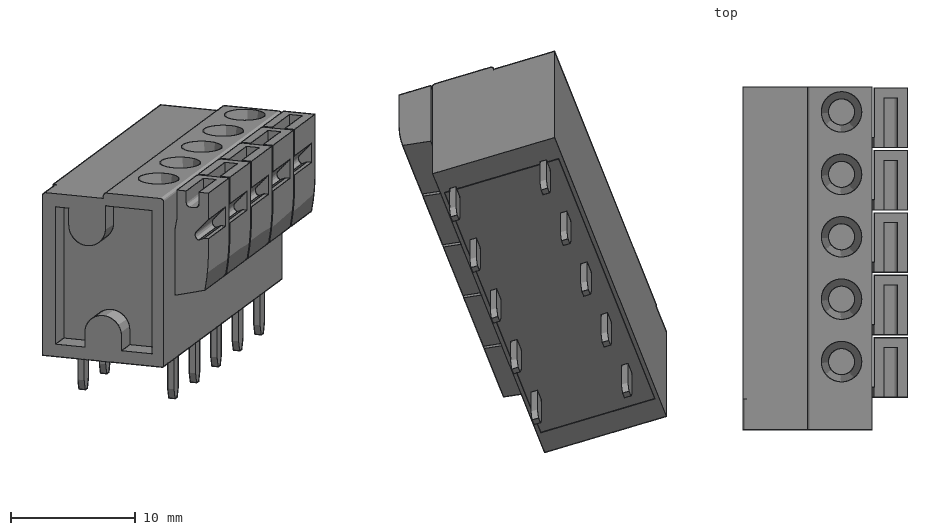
import cadquery as cq


overall_height = 18.12

pole_count = 5
pitch = 5.0
row_length = 27.5
end_plate = row_length - pole_count * pitch

housing_width = 10.37
shelf_height = 13.58
step_height = 0.47
housing_height = shelf_height + step_height
step_x = 5.2
edge_radius = 0.3
bottom_edge_radius = 0.15

foot_thickness = 0.08
foot_x = (0.33, 10.0)
foot_y = (1.9, 25.55)

recess_depth = 1.92
recess_x = (1.13, 9.38)
recess_floor = 1.05
recess_low_top = 12.48
recess_high_top = 12.98
tongue_radius = 1.57
upper_tongue_x = 3.82
upper_tongue_tip = 9.52
lower_tongue_x = step_x
lower_tongue_tip = 3.82

funnel_x = 7.92
funnel_offset = 3.0
funnel_top_diameter = 3.25
funnel_bottom_diameter = 2.1
funnel_depth = 4.95

pin_row_x = (1.57, 9.25)
pin_offset = 2.75
pin_thickness = 0.55
pin_width = 1.02
pin_length = 4.02
pin_tip_width = 0.47
pin_shoulder_width = 0.6
pin_taper = 0.85
pin_tip_height = 0.16

lever_left = 10.53
lever_right = 13.23
lever_top = overall_height - pin_length
lever_offset = 0.15
lever_width = 4.78
lever_straight_bottom = 9.0
lever_nose = (12.92, 6.0)
lever_nose_bend = (13.12, 7.3)
lever_heel_z = 5.35

slot_x = (11.33, 12.4)
slot_depth = 1.32
slot_back_wall = 0.8
slot_corner_radius = 0.35

notch_top = 11.9
notch_bottom = 10.3
notch_slope_end = (12.15, 10.75)
notch_tip = (12.15, 10.3)
notch_low_point = (12.4, 10.12)
notch_lip_x = 12.85

rib_width = 0.82
rib_top = 11.72
rib_slope_bottom = 10.8


def pole_start(index):
    """Y where the given pole begins, counted from the front end."""
    return end_plate + index * pitch


def box(x, y, z):
    """Axis-aligned box between pairs of limits."""
    return cq.Workplane("XY").box(
        x[1] - x[0], y[1] - y[0], z[1] - z[0], centered=False
    ).translate((x[0], y[0], z[0]))


def along_y(y_start):
    """Work plane in X and Z at the given Y, extruding towards +Y for negative distances."""
    return cq.Workplane("XZ", origin=(0, y_start, 0))


def make_housing():
    body = (
        along_y(0)
        .moveTo(0, 0)
        .lineTo(housing_width - bottom_edge_radius, 0)
        .radiusArc((housing_width, bottom_edge_radius), -bottom_edge_radius)
        .lineTo(housing_width, housing_height - edge_radius)
        .radiusArc((housing_width - edge_radius, housing_height), -edge_radius)
        .lineTo(step_x + edge_radius, housing_height)
        .radiusArc((step_x, housing_height - edge_radius), -edge_radius)
        .lineTo(step_x, shelf_height)
        .lineTo(0, shelf_height)
        .close()
        .extrude(-row_length)
    )
    corner = (
        along_y(0)
        .moveTo(0, shelf_height)
        .lineTo(0, shelf_height - edge_radius)
        .radiusArc((edge_radius, shelf_height), edge_radius)
        .close()
        .extrude(-end_plate)
    )
    foot = box(foot_x, foot_y, (-foot_thickness, 0))
    return body.cut(corner).union(foot)


def make_recess():
    upper_left = upper_tongue_x - tongue_radius
    upper_right = upper_tongue_x + tongue_radius
    upper_spring = upper_tongue_tip + tongue_radius
    lower_left = lower_tongue_x - tongue_radius
    lower_right = lower_tongue_x + tongue_radius
    lower_spring = lower_tongue_tip - tongue_radius
    return (
        along_y(0)
        .moveTo(recess_x[0], recess_floor)
        .lineTo(recess_x[0], recess_low_top)
        .lineTo(upper_left, recess_low_top)
        .lineTo(upper_left, upper_spring)
        .threePointArc((upper_tongue_x, upper_tongue_tip), (upper_right, upper_spring))
        .lineTo(upper_right, recess_high_top)
        .lineTo(recess_x[1], recess_high_top)
        .lineTo(recess_x[1], recess_floor)
        .lineTo(lower_right, recess_floor)
        .lineTo(lower_right, lower_spring)
        .threePointArc((lower_tongue_x, lower_tongue_tip), (lower_left, lower_spring))
        .lineTo(lower_left, recess_floor)
        .close()
        .extrude(-recess_depth)
    )


def make_funnel(index):
    return (
        cq.Workplane("XY", origin=(funnel_x, pole_start(index) + funnel_offset, housing_height))
        .circle(funnel_top_diameter / 2)
        .workplane(offset=-funnel_depth)
        .circle(funnel_bottom_diameter / 2)
        .loft()
    )


def make_pin(x, index):
    half_width = pin_width / 2
    half_tip = pin_tip_width / 2
    half_shoulder = pin_shoulder_width / 2
    shoulder = pin_tip_height - pin_length
    taper_start = pin_taper - pin_length
    return (
        cq.Workplane("YZ", origin=(x - pin_thickness / 2, pole_start(index) + pin_offset, 0))
        .moveTo(-half_width, 0)
        .lineTo(-half_width, taper_start)
        .lineTo(-half_shoulder, shoulder)
        .lineTo(-half_tip, -pin_length)
        .lineTo(half_tip, -pin_length)
        .lineTo(half_shoulder, shoulder)
        .lineTo(half_width, taper_start)
        .lineTo(half_width, 0)
        .close()
        .extrude(pin_thickness)
    )


def make_lever(index):
    front = pole_start(index) + lever_offset
    opening = lever_width - slot_back_wall
    blade = (
        along_y(front)
        .moveTo(lever_left, lever_heel_z)
        .lineTo(lever_left, lever_top)
        .lineTo(lever_right, lever_top)
        .lineTo(lever_right, lever_straight_bottom)
        .threePointArc(lever_nose_bend, lever_nose)
        .close()
        .extrude(-lever_width)
    )
    rib = (
        along_y(front)
        .moveTo(lever_left, lever_heel_z)
        .lineTo(lever_left, rib_top)
        .lineTo(housing_width, rib_slope_bottom)
        .lineTo(housing_width, lever_heel_z)
        .close()
        .extrude(-rib_width)
    )
    slot = (
        box(slot_x, (front, front + opening), (lever_top - slot_depth, lever_top))
        .edges("|Y and <Z")
        .fillet(slot_corner_radius)
    )
    notch = (
        along_y(front)
        .moveTo(lever_right, notch_top)
        .lineTo(*notch_slope_end)
        .threePointArc(notch_tip, notch_low_point)
        .lineTo(notch_lip_x, notch_bottom)
        .lineTo(lever_right, notch_bottom)
        .close()
        .extrude(-opening)
    )
    return blade.cut(slot).cut(notch).union(rib)


result = make_housing().cut(make_recess())
for pole in range(pole_count):
    result = result.cut(make_funnel(pole))
    result = result.union(make_lever(pole))
    for x in pin_row_x:
        result = result.union(make_pin(x, pole))